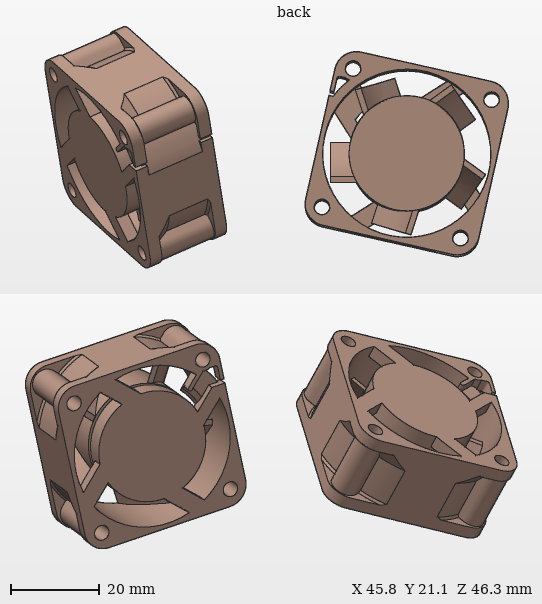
import cadquery as cq
import math


HOUSING_ROLL = 12.67
FAN_PITCH = 1.319

SIDE = 40.0
DEPTH = 20.0
CORNER_RADIUS = 5.0
FLANGE_THICKNESS = 3.0
BORE_RADIUS = 18.95
DUCT_RADIUS = 21.0
HALF = SIDE / 2
WALL_MIDDLE_RADIUS = (BORE_RADIUS + HALF) / 2
REAR_FLANGE_DEPTH = DEPTH - FLANGE_THICKNESS

FRONT_FLARE_RADIUS = 22.7
FRONT_FLARE_LENGTH = 3.35
REAR_FLARE_RADIUS = 21.45
REAR_FLARE_LENGTH = 0.6

HOLE_SPACING = 32.0
HOLE_DIAMETER = 3.5
PILLAR_RADIUS = 3.25
HOLE_OFFSET = HOLE_SPACING / 2
HOLE_RADIUS_FROM_AXIS = HOLE_OFFSET * math.sqrt(2)

CAP_RADIUS = 13.0
CAP_THICKNESS = 5.0
STRUT_THICKNESS = 3.0
STRUT_INNER_OFFSET = 5.0
STRUT_OUTER_OFFSET = 9.15

WIRE_STRUT_INNER_OFFSET = 5.55
WIRE_STRUT_OUTER_OFFSET = 8.6
FINGER_INNER_OFFSET = 0.5
FINGER_OUTER_OFFSET = 1.5
FINGER_TIP_RADIUS = 15.0
CHANNEL_DEPTH = 2.0
OUTLET_BOTTOM = 8.9
OUTLET_TOP = 9.92
OUTLET_LIP_X = 19.1
OUTLET_CEILING = 13.6
OUTLET_CEILING_ROUND = 0.6
HOLE_WALL_RADIUS = 2.7

FLOOR_EDGE_RADIUS = 16.0
FLOOR_BREAK_RADIUS = 14.6
FLOOR_BREAK_DEPTH = 2.5
FLOOR_END_RADIUS = 14.0

ROTOR_HUB_RADIUS = CAP_RADIUS
ROTOR_FRONT = 6.3
ROTOR_BACK = 19.5
BLADE_COUNT = 5
BLADE_TIP = 17.2
BLADE_ROOT = 11.0
BLADE_THICKNESS = 1.34
BLADE_FRONT = (6.5, 1.42)
BLADE_BEND = (10.5, -2.1)
BLADE_REAR = (18.0, -6.6)


def plane_at(depth):
    """Sketch plane facing the front, with sketch x = X and sketch y = Z."""
    return cq.Workplane("XZ", origin=(0, depth, 0))


def disc(radius, front, back):
    return plane_at(front).circle(radius).extrude(front - back)


def revolved(points):
    """Solid of revolution about the fan axis from (radius, depth) points."""
    return cq.Workplane("XY").polyline(points).close().revolve(360, (0, 0, 0), (0, 1, 0))


def about_axis(shape, angle):
    """Turn counter-clockwise as seen from the front."""
    return shape.rotate((0, 0, 0), (0, -1, 0), angle)


def diagonal_point(along, offset):
    """(X, Z) of a point along the upper right diagonal, offset below it."""
    return ((along + offset) / math.sqrt(2), (along - offset) / math.sqrt(2))


def diagonal_bar(start, end, inner_offset, outer_offset, front, back):
    """Bar parallel to the upper right diagonal, lying at the given offsets below it."""
    bar = (
        plane_at(front)
        .center((start + end) / 2, -(inner_offset + outer_offset) / 2)
        .rect(end - start, outer_offset - inner_offset)
        .extrude(front - back)
    )
    return about_axis(bar, 45)


def flange(front):
    plate = plane_at(front).rect(SIDE, SIDE).extrude(-FLANGE_THICKNESS)
    return plate.edges("|Y").fillet(CORNER_RADIUS)


def duct():
    """Round duct wall with flared ends, trimmed flush with the square sides."""
    outside = revolved([
        (0, FLANGE_THICKNESS),
        (FRONT_FLARE_RADIUS, FLANGE_THICKNESS),
        (DUCT_RADIUS, FLANGE_THICKNESS + FRONT_FLARE_LENGTH),
        (DUCT_RADIUS, REAR_FLANGE_DEPTH - REAR_FLARE_LENGTH),
        (REAR_FLARE_RADIUS, REAR_FLANGE_DEPTH),
        (0, REAR_FLANGE_DEPTH),
    ])
    square = plane_at(0).rect(SIDE, SIDE).extrude(-DEPTH)
    return outside.intersect(square)


def pillar(angle):
    """Round pillar on a corner hole, joined to the duct by a web of the same width."""
    post = (
        plane_at(FLANGE_THICKNESS)
        .center(HOLE_RADIUS_FROM_AXIS, 0)
        .circle(PILLAR_RADIUS)
        .extrude(FLANGE_THICKNESS - REAR_FLANGE_DEPTH)
    )
    web = (
        plane_at(FLANGE_THICKNESS)
        .center((BORE_RADIUS + HOLE_RADIUS_FROM_AXIS) / 2, 0)
        .rect(HOLE_RADIUS_FROM_AXIS - BORE_RADIUS, 2 * PILLAR_RADIUS)
        .extrude(FLANGE_THICKNESS - REAR_FLANGE_DEPTH)
    )
    return about_axis(post.union(web), angle)


def frame():
    """Both flanges, the duct and the pillars, with the bore and mounting holes cut."""
    body = duct().union(flange(0)).union(flange(REAR_FLANGE_DEPTH))
    for corner in range(4):
        body = body.union(pillar(45 + 90 * corner))
    holes = (
        plane_at(0)
        .rect(HOLE_SPACING, HOLE_SPACING, forConstruction=True)
        .vertices()
        .circle(HOLE_DIAMETER / 2)
        .extrude(-DEPTH)
    )
    return body.cut(disc(BORE_RADIUS, 0, DEPTH)).cut(holes)


def motor_mount():
    """Cap and its four struts; the upper right strut is narrower to leave room for the wires."""
    struts = diagonal_bar(
        0, DUCT_RADIUS, WIRE_STRUT_INNER_OFFSET, WIRE_STRUT_OUTER_OFFSET, 0, STRUT_THICKNESS
    )
    plain_strut = diagonal_bar(
        0, DUCT_RADIUS, STRUT_INNER_OFFSET, STRUT_OUTER_OFFSET, 0, STRUT_THICKNESS
    )
    for turn in (90, 180, 270):
        struts = struts.union(about_axis(plain_strut, turn))
    struts = struts.intersect(disc(WALL_MIDDLE_RADIUS, 0, STRUT_THICKNESS))
    return struts.union(disc(CAP_RADIUS, 0, CAP_THICKNESS))


def wire_finger():
    """Thin round-tipped finger along the upper side of the wire channel."""
    tip_round = (FINGER_OUTER_OFFSET - FINGER_INNER_OFFSET) / 2
    tip_center = FINGER_TIP_RADIUS + tip_round
    bar = diagonal_bar(
        tip_center, WALL_MIDDLE_RADIUS, FINGER_INNER_OFFSET, FINGER_OUTER_OFFSET, 0, STRUT_THICKNESS
    )
    tip = (
        plane_at(0)
        .center(*diagonal_point(tip_center, FINGER_INNER_OFFSET + tip_round))
        .circle(tip_round)
        .extrude(-STRUT_THICKNESS)
    )
    return bar.union(tip)


def channel_floor():
    """Floor between the finger and the wire strut, sloping away at its inner end."""
    ring = revolved([
        (FLOOR_EDGE_RADIUS, CHANNEL_DEPTH),
        (BORE_RADIUS, CHANNEL_DEPTH),
        (BORE_RADIUS, STRUT_THICKNESS),
        (FLOOR_END_RADIUS, STRUT_THICKNESS),
        (FLOOR_BREAK_RADIUS, FLOOR_BREAK_DEPTH),
    ])
    sector = diagonal_bar(
        CAP_RADIUS / 2, DUCT_RADIUS, FINGER_INNER_OFFSET, WIRE_STRUT_INNER_OFFSET, 0, STRUT_THICKNESS
    )
    return ring.intersect(sector)


def wire_outlet():
    """Channel across the duct wall, opening full depth through the corner and its side slit."""
    wall_start = HOLE_RADIUS_FROM_AXIS - math.sqrt(HOLE_WALL_RADIUS**2 - FINGER_OUTER_OFFSET**2)
    strut_shift = WIRE_STRUT_INNER_OFFSET * math.sqrt(2)
    ceiling_drop = HOLE_OFFSET - OUTLET_CEILING
    ceiling_x = HOLE_OFFSET + math.sqrt(HOLE_WALL_RADIUS**2 - ceiling_drop**2)
    below_hole = (HOLE_OFFSET, HOLE_OFFSET - HOLE_WALL_RADIUS)
    outline = (
        plane_at(0)
        .moveTo(*diagonal_point(FLOOR_EDGE_RADIUS, WIRE_STRUT_INNER_OFFSET))
        .lineTo(OUTLET_BOTTOM + strut_shift, OUTLET_BOTTOM)
        .lineTo(HALF, OUTLET_BOTTOM)
        .lineTo(HALF, OUTLET_TOP)
        .lineTo(OUTLET_LIP_X, OUTLET_TOP)
        .lineTo(OUTLET_LIP_X, OUTLET_CEILING - OUTLET_CEILING_ROUND)
        .radiusArc((OUTLET_LIP_X - OUTLET_CEILING_ROUND, OUTLET_CEILING), -OUTLET_CEILING_ROUND)
        .lineTo(ceiling_x, OUTLET_CEILING)
        .threePointArc(below_hole, diagonal_point(wall_start, FINGER_OUTER_OFFSET))
        .lineTo(*diagonal_point(FLOOR_EDGE_RADIUS, FINGER_OUTER_OFFSET))
        .close()
    )
    through = outline.extrude(-DEPTH)
    below_channel = disc(DUCT_RADIUS, CHANNEL_DEPTH, DEPTH)
    return through.cut(below_channel)


def outlet_pocket():
    """Clears the flares from the side pocket below the upper right pillar, down to the plain duct."""
    pocket = diagonal_bar(
        0,
        HALF * math.sqrt(2),
        PILLAR_RADIUS,
        HALF / math.sqrt(2),
        FLANGE_THICKNESS,
        REAR_FLANGE_DEPTH,
    )
    return pocket.cut(disc(DUCT_RADIUS, 0, DEPTH))


def build_housing():
    housing = frame().cut(outlet_pocket()).union(motor_mount()).union(wire_finger())
    return housing.cut(wire_outlet()).union(channel_floor())


def bend_arc_middle():
    """Middle of the arc that leaves the blade's flat stretch tangentially and ends at its rear edge."""
    flat_angle = math.atan2(BLADE_BEND[1] - BLADE_FRONT[1], BLADE_BEND[0] - BLADE_FRONT[0])
    run = BLADE_REAR[0] - BLADE_BEND[0]
    rise = BLADE_REAR[1] - BLADE_BEND[1]
    chord_angle = math.atan2(rise, run)
    sag = math.hypot(run, rise) / 2 * math.tan((chord_angle - flat_angle) / 2)
    return (
        BLADE_BEND[0] + run / 2 + sag * math.sin(chord_angle),
        BLADE_BEND[1] + rise / 2 - sag * math.cos(chord_angle),
    )


def blade():
    """Blade standing along +X: a flat front stretch, then a curve that levels out toward the rear."""
    def upper(point):
        return (point[0], point[1] + BLADE_THICKNESS)

    arc_middle = bend_arc_middle()
    return (
        cq.Workplane("YZ", origin=(BLADE_ROOT, 0, 0))
        .moveTo(*BLADE_FRONT)
        .lineTo(*BLADE_BEND)
        .threePointArc(arc_middle, BLADE_REAR)
        .lineTo(*upper(BLADE_REAR))
        .threePointArc(upper(arc_middle), upper(BLADE_BEND))
        .lineTo(*upper(BLADE_FRONT))
        .close()
        .extrude(BLADE_TIP - BLADE_ROOT)
    )


def build_rotor():
    rotor = disc(ROTOR_HUB_RADIUS, ROTOR_FRONT, ROTOR_BACK)
    for index in range(BLADE_COUNT):
        rotor = rotor.union(about_axis(blade(), 360 / BLADE_COUNT * index))
    return rotor


def pitched(shape):
    return shape.rotate((0, 0, 0), (1, 0, 0), FAN_PITCH)


housing = pitched(about_axis(build_housing(), HOUSING_ROLL))
rotor = pitched(build_rotor())

result = cq.Compound.makeCompound([housing.val(), rotor.val()])